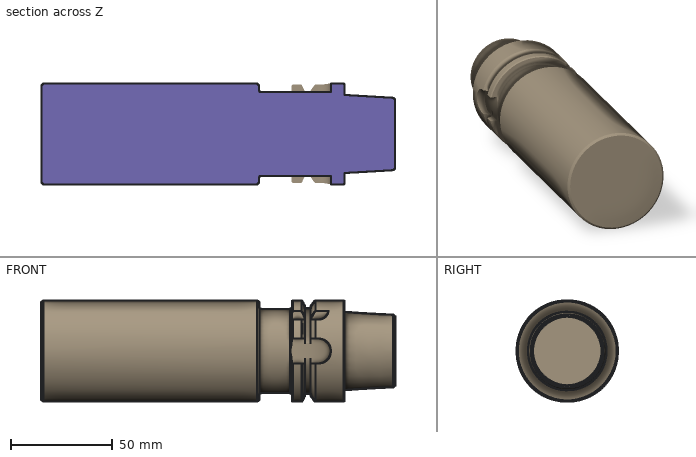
import cadquery as cq

length = 175.0
body_radius = 25.0
body_end = 107.8
body_chamfer = 1.0

neck_radius = 20.8
neck_fillet = 0.9

rim_start = 123.9
rim_end = 129.2
collar_end = 150.0
edge_chamfer = 0.5
groove_radius = 21.2
groove_start = 130.4
groove_end = 133.2
groove_wall_foot_radius = 22.0
collar_start = 135.0

shank_root_radius = 19.5
shank_tip_radius = 18.0
shank_chamfer = 1.0

slot_width = 12.2
slot_floor = neck_radius
cutter_center_x = 137.0
notch_wall_y = 15.4
notch_floor_z = 15.5
notch_cutter_radius = 10.0 / 2
cut_start = 122.5
cut_reach = 8.8


def turned_blank():
    """Revolve the half profile of the whole holder about the X axis."""
    profile = (
        cq.Workplane("XY")
        .moveTo(0, 0)
        .lineTo(0, body_radius - body_chamfer)
        .lineTo(body_chamfer, body_radius)
        .lineTo(body_end - body_chamfer, body_radius)
        .lineTo(body_end, body_radius - body_chamfer)
        .lineTo(body_end, neck_radius + neck_fillet)
        .radiusArc((body_end + neck_fillet, neck_radius), -neck_fillet)
        .lineTo(rim_start - neck_fillet, neck_radius)
        .radiusArc((rim_start, neck_radius + neck_fillet), -neck_fillet)
        .lineTo(rim_start, body_radius - edge_chamfer)
        .lineTo(rim_start + edge_chamfer, body_radius)
        .lineTo(rim_end - edge_chamfer, body_radius)
        .lineTo(rim_end, body_radius - edge_chamfer)
        .lineTo(groove_start, groove_wall_foot_radius)
        .lineTo(groove_start, groove_radius)
        .lineTo(groove_end, groove_radius)
        .lineTo(groove_end, groove_wall_foot_radius)
        .lineTo(collar_start, body_radius - edge_chamfer)
        .lineTo(collar_start + edge_chamfer, body_radius)
        .lineTo(collar_end - edge_chamfer, body_radius)
        .lineTo(collar_end, body_radius - edge_chamfer)
        .lineTo(collar_end, shank_root_radius)
        .lineTo(length - shank_chamfer, shank_tip_radius)
        .lineTo(length, shank_tip_radius - shank_chamfer)
        .lineTo(length, 0)
        .close()
    )
    return profile.revolve(360, (0, 0, 0), (1, 0, 0))


def round_ended_cut(radius, center_z, inner_y):
    """Milled cut along X, rounded at its +X end, open outward toward -Y."""
    return (
        cq.Workplane("XZ", origin=(0, -inner_y, 0))
        .moveTo(cut_start, center_z - radius)
        .lineTo(cutter_center_x, center_z - radius)
        .threePointArc(
            (cutter_center_x + radius, center_z),
            (cutter_center_x, center_z + radius),
        )
        .lineTo(cut_start, center_z + radius)
        .close()
        .extrude(cut_reach)
    )


key_slot = round_ended_cut(slot_width / 2, 0, slot_floor)
notch = round_ended_cut(notch_cutter_radius, notch_floor_z + notch_cutter_radius, notch_wall_y)

result = turned_blank().cut(key_slot).cut(key_slot.mirror("XZ")).cut(notch)